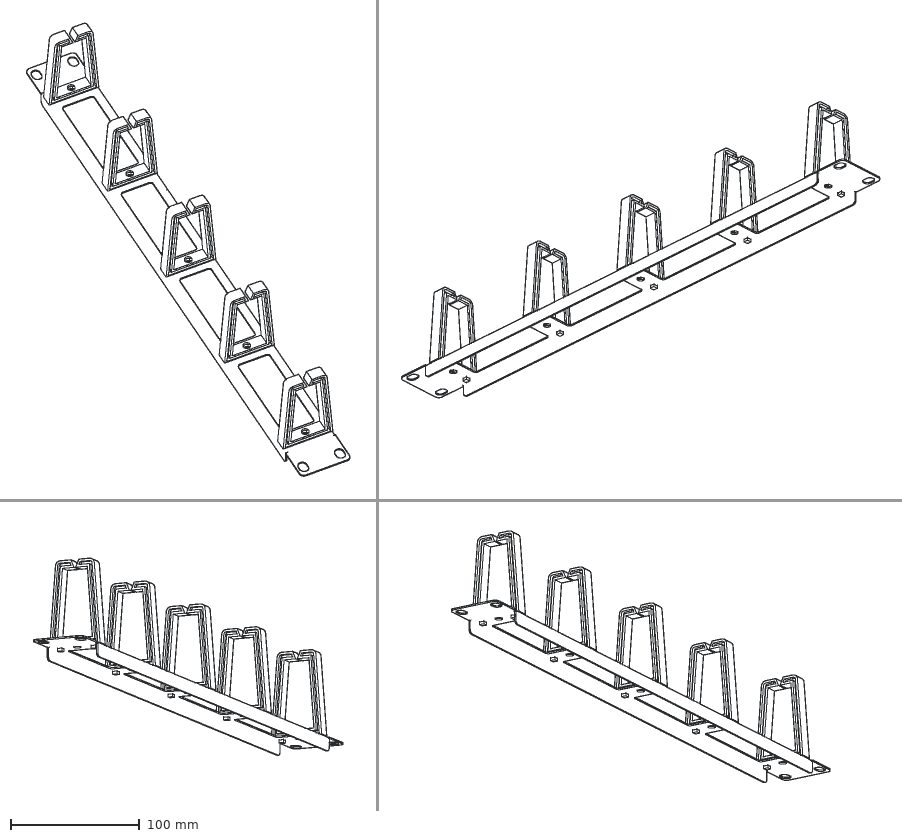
import cadquery as cq
import math

panel_length = 482.0
panel_width = 43.5
sheet = 1.2
flange_height = 11.5
flange_length = 426.0
bend_radius = 2.0
flange_corner_radius = 3.5
ear_corner_radius = 4.0
panel_top = flange_height
panel_bottom = panel_top - sheet

mount_slot_length = 10.0
mount_slot_width = 7.0
mount_slot_spacing_x = 464.5
mount_slot_spacing_y = 32.0

window_length = 80.0
window_width = 27.5
window_corner_radius = 2.5

ring_count = 5
ring_row_length = 408.0
ring_pitch = ring_row_length / (ring_count - 1)
ring_positions = [(i - (ring_count - 1) / 2) * ring_pitch for i in range(ring_count)]
window_positions = [x + ring_pitch / 2 for x in ring_positions[:-1]]

ring_width = 9.5
ring_top = 79.0
ring_top_half = 16.5
ring_foot_half = 21.5
ring_corner_radius = 4.5
smallest_fillet = 0.25
foot_trim = 1.0
ring_foot = panel_top - foot_trim
leg_slope = (ring_foot_half - ring_top_half) / (ring_top - ring_foot)
leg_stretch = math.hypot(1, leg_slope)

rim = 2.0
groove = 2.5
web = 4.0
loop_thickness = 2 * rim + groove

notch_top_half = 3.5
notch_bottom_half = 0.7
notch_lip = 2.0

screw_hole_radius = 3.0
peg_length = 4.0
peg_width = web
peg_spacing = 29.0
peg_drop = 3.5


def loop_prism(inset, length):
    """Solid tapered loop outline, moved inward by inset and centred on X = 0."""
    top = ring_top - inset
    bottom = max(ring_foot + inset, panel_top)

    def half_width(z):
        return ring_foot_half - leg_slope * (z - ring_foot) - inset * leg_stretch

    corners = [
        (-half_width(bottom), bottom),
        (half_width(bottom), bottom),
        (half_width(top), top),
        (-half_width(top), top),
    ]
    prism = cq.Workplane("YZ").polyline(corners).close().extrude(length / 2, both=True)
    radius = ring_corner_radius - inset
    if radius > smallest_fillet:
        prism = prism.edges("|X and >Z").fillet(radius)
    return prism


def notch_prism(margin):
    """V-shaped opening through the top bar, widened by margin on both sides."""
    bar_bottom = ring_top - loop_thickness
    bottom_half = notch_bottom_half + margin
    top_half = notch_top_half + margin
    corners = [
        (-bottom_half, bar_bottom),
        (bottom_half, bar_bottom),
        (top_half, ring_top),
        (-top_half, ring_top),
    ]
    return cq.Workplane("YZ").polyline(corners).close().extrude(ring_width / 2, both=True)


def peg_boxes():
    """Two locating pegs that reach from the base bar down through the panel."""
    return (
        cq.Workplane("XY", origin=(0, 0, panel_top))
        .pushPoints([(0, -peg_spacing / 2), (0, peg_spacing / 2)])
        .rect(peg_width, peg_length)
        .extrude(-peg_drop)
    )


def screw_hole():
    """Vertical cylinder that clears the base bar and the panel."""
    return (
        cq.Workplane("XY", origin=(0, 0, panel_bottom))
        .circle(screw_hole_radius)
        .extrude(sheet + loop_thickness)
    )


def make_ring():
    loop = loop_prism(0, ring_width).cut(loop_prism(loop_thickness, ring_width))

    groove_path = loop_prism(rim, ring_width).cut(loop_prism(rim + groove, ring_width))
    groove_path = groove_path.cut(notch_prism(notch_lip))
    groove_depth = (ring_width - web) / 2
    for side in (-1, 1):
        side_space = cq.Workplane("XY").box(groove_depth, panel_width, 2 * ring_top)
        side_space = side_space.translate((side * (ring_width - groove_depth) / 2, 0, 0))
        loop = loop.cut(groove_path.intersect(side_space))

    return loop.cut(notch_prism(0)).union(peg_boxes()).cut(screw_hole())


def make_panel():
    channel = (
        cq.Workplane("XY")
        .box(flange_length, panel_width, flange_height, centered=(True, True, False))
        .edges("|X and >Z").fillet(bend_radius)
    )
    hollow = (
        cq.Workplane("XY")
        .box(flange_length, panel_width - 2 * sheet, panel_bottom, centered=(True, True, False))
        .edges("|X and >Z").fillet(bend_radius - sheet)
    )
    channel = channel.cut(hollow).edges("|Y and <Z").fillet(flange_corner_radius)

    ear_length = (panel_length - flange_length) / 2
    panel = channel
    for side in (-1, 1):
        ear = (
            cq.Workplane("XY", origin=(side * (panel_length - ear_length) / 2, 0, panel_bottom))
            .box(ear_length, panel_width, sheet, centered=(True, True, False))
            .edges("|Z and " + ("<X" if side < 0 else ">X")).fillet(ear_corner_radius)
        )
        panel = panel.union(ear)

    mount_slots = (
        cq.Workplane("XY")
        .rarray(mount_slot_spacing_x, mount_slot_spacing_y, 2, 2)
        .slot2D(mount_slot_length, mount_slot_width)
        .extrude(panel_top)
    )
    windows = (
        cq.Workplane("XY")
        .pushPoints([(x, 0) for x in window_positions])
        .rect(window_length, window_width)
        .extrude(panel_top)
        .edges("|Z").fillet(window_corner_radius)
    )
    panel = panel.cut(mount_slots).cut(windows)

    for x in ring_positions:
        panel = panel.cut(peg_boxes().translate((x, 0, 0)))
        panel = panel.cut(screw_hole().translate((x, 0, 0)))
    return panel


panel = make_panel()
ring = make_ring()
rings = [ring.translate((x, 0, 0)) for x in ring_positions]

result = cq.Compound.makeCompound([panel.val(), *[r.val() for r in rings]])